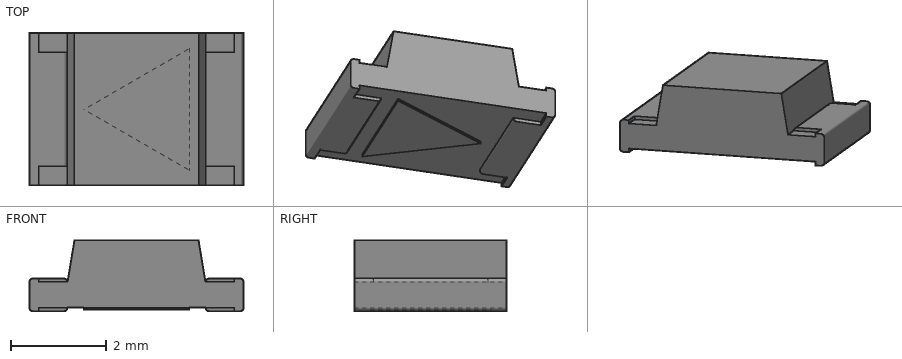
import cadquery as cq
import math

length = 4.5
width = 3.2
height = 1.5

foil = 0.08
terminal_reach = 0.8
terminal_round = foil
notch_inset = 0.2
notch_width = 0.4

board_thickness = 0.54
board_top = foil + board_thickness
terminal_height = 0.695
lens_top_length = 2.605
lens_base_length = length - 2 * terminal_reach

mark_length = 2.215
mark_width = 2 * mark_length / math.sqrt(3)
mark_thickness = 0.045


def make_board():
    board = cq.Workplane("XY").box(length - 2 * foil, width, board_thickness, centered=(True, True, False))
    return board.translate((0, 0, foil))


def make_lens():
    """Trapezoid in XZ, extruded across the full width."""
    return (
        cq.Workplane("XZ")
        .moveTo(-lens_base_length / 2, board_top)
        .lineTo(lens_base_length / 2, board_top)
        .lineTo(lens_top_length / 2, height)
        .lineTo(-lens_top_length / 2, height)
        .close()
        .extrude(width / 2, both=True)
    )


def make_terminal(side):
    """Rounded terminal at the -X (side = -1) or +X (side = 1) end, notched at its inner corners."""
    center_x = side * (length - terminal_reach) / 2
    terminal = (
        cq.Workplane("XY")
        .box(terminal_reach, width, terminal_height, centered=(True, True, False))
        .edges("|Y")
        .fillet(terminal_round)
        .translate((center_x, 0, 0))
    )
    notch = cq.Workplane("XY").box(terminal_reach, 2 * notch_width, terminal_height, centered=(True, True, False))
    for y in (-width / 2, width / 2):
        terminal = terminal.cut(notch.translate((center_x - side * notch_inset, y, 0)))
    return terminal


def make_polarity_mark():
    half_length = mark_length / 2
    half_width = mark_width / 2
    outline = [(half_length, -half_width), (-half_length, 0), (half_length, half_width)]
    mark = cq.Workplane("XY").polyline(outline).close().extrude(mark_thickness)
    return mark.translate((0, 0, foil - mark_thickness))


result = make_board().union(make_lens()).union(make_polarity_mark())
for end in (-1, 1):
    result = result.union(make_terminal(end))